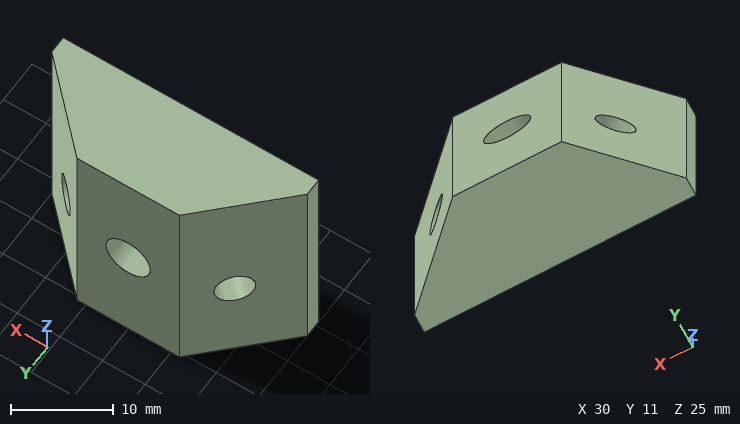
import cadquery as cq
import math

width = 30.0
depth = 11.0
height = 25.0
bevel = 9.0
edge_depth = depth - bevel
half_width = width / 2

screw_diameter = 5.2
slanted_diameter = 4.15
slanted_drop = 2.0
slanted_exit_x = 2.8
slanted_margin = 6.0


def make_block():
    outline = [
        (-half_width, 0),
        (half_width, 0),
        (half_width, edge_depth),
        (half_width - bevel, depth),
        (bevel - half_width, depth),
        (-half_width, edge_depth),
    ]
    return cq.Workplane("XY").polyline(outline).close().extrude(height / 2, both=True)


def make_screw_hole():
    return cq.Workplane("XZ").circle(screw_diameter / 2).extrude(-depth)


def make_slanted_hole(side):
    """Hole square to the bevel on one side (-1 or +1), open at both ends."""
    direction = cq.Vector(side, 1, 0).normalized()
    front_point = cq.Vector(side * slanted_exit_x, 0, -slanted_drop)
    axis_length = (half_width + edge_depth - slanted_exit_x) / math.sqrt(2)
    start = front_point - direction * slanted_margin
    cutter_length = axis_length + 2 * slanted_margin
    return cq.Solid.makeCylinder(slanted_diameter / 2, cutter_length, start, direction)


result = make_block().cut(make_screw_hole())
for side in (-1, 1):
    result = result.cut(cq.Workplane(obj=make_slanted_hole(side)))